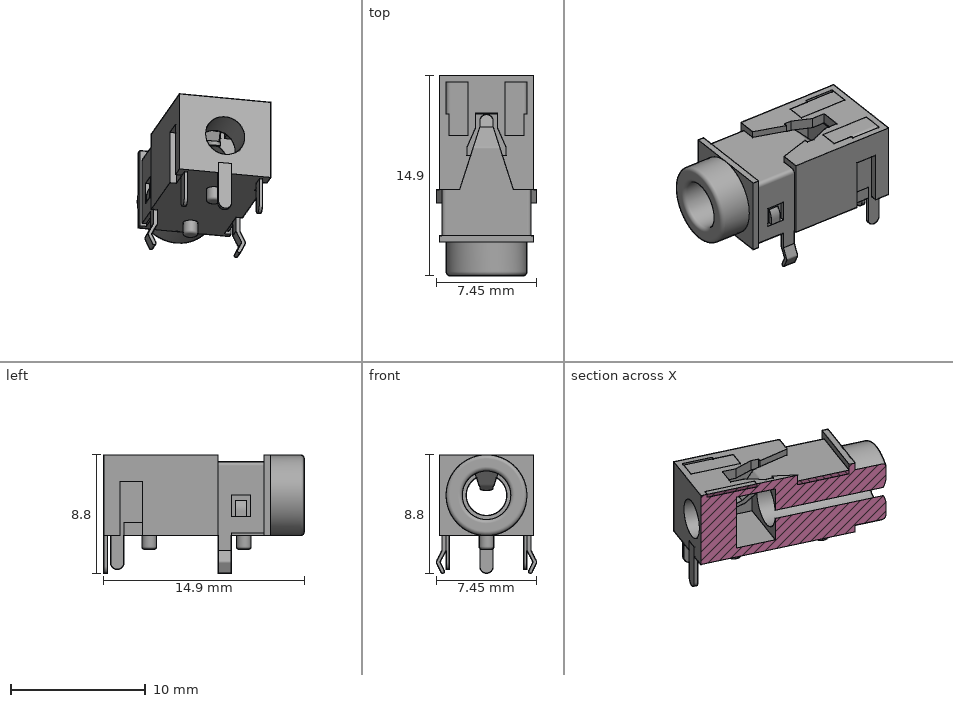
import cadquery as cq
import math

SIDES = (-1, 1)

length = 14.9
rear_y = length / 2
nose_y = -length / 2
housing_width = 7.0
housing_height = 6.0
half_width = housing_width / 2
top_z = housing_height / 2
bottom_z = -top_z
body_length = 8.5
nose_length = 2.5
flange_thickness = 0.49
body_front_y = rear_y - body_length
flange_front_y = nose_y + nose_length
flange_back_y = flange_front_y + flange_thickness

nose_diameter = housing_height
nose_round = 0.3
bore_diameter = 3.6
rear_bore_diameter = 3.0

core_half_width = nose_diameter / 2
shell_sheet = 0.31
shell_drop = 0.5
shell_top_z = top_z - shell_drop
core_top_z = shell_top_z - shell_sheet
shell_half_width = core_half_width + shell_sheet
shell_skirt_z = -2.79
pin_width = 1.0

finger_root_half_width = 2.0
finger_tip_half_width = pin_width / 2
finger_bend_y = 2.09
finger_knee_y = 3.6
finger_tip_y = 4.53
finger_slope = 45.0
finger_tip_slope = 18.0
finger_bend_round = 0.25
finger_knee_round = 0.45

leg_bend_z = -4.1
leg_elbow_z = -4.96
leg_elbow_x = 3.75
leg_elbow_round = 0.21
leg_bottom_z = -5.8
leg_foot_x = 3.35
leg_foot_round = 0.13
leg_front_y = body_front_y - pin_width

window_length = 1.43
window_top_z = 0.01
window_bottom_z = -1.58
snap_back_y = -2.34
snap_length = 0.8
snap_top_z = -0.39
snap_curve_z = -1.16

opening_back_y = 4.65
opening_neck_y = 3.58
opening_wide_y = 2.09
opening_front_y = 1.48
opening_neck_half_width = 0.8
opening_half_width = 1.46
chamber_back_y = 4.56
chamber_half_width = 2.73

contact_sheet = 0.25
contact_bend_round = 0.33
contact_rear_y = rear_y - 0.5
contact_front_y = chamber_back_y
pad_front_y = 2.97
pad_inner_x = 1.37
pad_outer_x = 2.79
contact_plate_bottom_z = -2.03
contact_pin_bottom_z = -5.51
contact_inner_x = core_half_width - contact_sheet

recess_rear_y = 6.26
recess_top_z = 1.01

rear_contact_sheet = 0.3
rear_contact_top_z = -core_top_z

peg_diameter = 1.1
peg_length = 1.01
peg_round = 0.2
peg_positions_y = (4.07, -2.95)


def block(x_range, y_range, z_range):
    """Box between the given limits, each limit pair in either order."""
    (x0, x1), (y0, y1), (z0, z1) = map(sorted, (x_range, y_range, z_range))
    return cq.Workplane("XY").box(x1 - x0, y1 - y0, z1 - z0, centered=False).translate((x0, y0, z0))


def rod_y(diameter, y_start, y_end):
    """Cylinder along Y, centred on the bore axis."""
    return cq.Workplane("XZ", origin=(0, y_start, 0)).circle(diameter / 2).extrude(y_start - y_end)


def round_ended_pin(plane, origin, pin_bottom_z, pin_top_z, sheet):
    """Flat vertical pin with a full round at its lower end, extruded from the given upright plane."""
    radius = pin_width / 2
    return (
        cq.Workplane(plane, origin=origin)
        .moveTo(-radius, pin_top_z)
        .lineTo(-radius, pin_bottom_z + radius)
        .threePointArc((0, pin_bottom_z), (radius, pin_bottom_z + radius))
        .lineTo(radius, pin_top_z)
        .close()
        .extrude(sheet)
    )



def finger_plan(z_low, z_high):
    """Vertical prism on the plan of the finger: a long taper ending in a straight tip with a full round."""
    round_y = finger_tip_y - finger_tip_half_width
    return (
        cq.Workplane("XY", origin=(0, 0, z_low))
        .moveTo(finger_root_half_width, body_front_y)
        .lineTo(finger_tip_half_width, finger_knee_y)
        .lineTo(finger_tip_half_width, round_y)
        .threePointArc((0, finger_tip_y), (-finger_tip_half_width, round_y))
        .lineTo(-finger_tip_half_width, finger_knee_y)
        .lineTo(-finger_root_half_width, body_front_y)
        .close()
        .extrude(z_high - z_low)
    )


def finger_side_profile():
    """Constant-thickness strip: flat, then bent steeply down, then less steeply at the tip."""
    steep = math.radians(finger_slope)
    gentle = math.radians(finger_tip_slope)
    knee_z = shell_top_z - (finger_knee_y - finger_bend_y) * math.tan(steep)
    tip_z = knee_z - (finger_tip_y - finger_knee_y) * math.tan(gentle)

    knee_angle = (steep + gentle) / 2
    knee_offset = shell_sheet / math.cos((steep - gentle) / 2)
    under_knee_y = finger_knee_y - knee_offset * math.sin(knee_angle)
    under_knee_z = knee_z - knee_offset * math.cos(knee_angle)
    return [
        (body_front_y, shell_top_z),
        (finger_bend_y, shell_top_z),
        (finger_knee_y, knee_z),
        (finger_tip_y, tip_z),
        (finger_tip_y, tip_z - shell_sheet / math.cos(gentle)),
        (under_knee_y, under_knee_z),
        (finger_bend_y - shell_sheet * math.tan(steep / 2), core_top_z),
        (body_front_y, core_top_z),
    ]


def spring_finger():
    profile = finger_side_profile()
    strip = cq.Workplane("YZ").polyline(profile).close().extrude(finger_root_half_width, both=True)
    top_bend = profile[1]
    under_knee = profile[5]
    for (y, z), radius in ((top_bend, finger_bend_round), (under_knee, finger_knee_round)):
        strip = strip.edges(cq.selectors.NearestToPointSelector((0, y, z))).fillet(radius)
    return strip.intersect(finger_plan(bottom_z, top_z))


def board_lock_leg(side):
    """Leg that runs straight down, kinks outward and turns back in at the foot."""
    outer = [
        (shell_half_width, shell_skirt_z),
        (shell_half_width, leg_bend_z),
        (leg_elbow_x, leg_elbow_z),
        (leg_foot_x, leg_bottom_z),
    ]
    inner = [(x - shell_sheet, z) for x, z in reversed(outer)]
    outline = [(side * x, z) for x, z in outer + inner]
    leg = cq.Workplane("XZ", origin=(0, body_front_y, 0)).polyline(outline).close().extrude(pin_width)
    elbow = (side * leg_elbow_x, body_front_y - pin_width / 2, leg_elbow_z)
    leg = leg.edges(cq.selectors.NearestToPointSelector(elbow)).fillet(leg_elbow_round)
    return leg.faces("<Z").edges("|Y").fillet(leg_foot_round)


def latch_window(side):
    return block(
        (side * core_half_width, side * shell_half_width),
        (leg_front_y - window_length, leg_front_y),
        (window_bottom_z, window_top_z),
    )


def make_shell():
    y_range = (flange_back_y, body_front_y)
    cover = block((-shell_half_width, shell_half_width), y_range, (shell_skirt_z, shell_top_z))
    cover = cover.edges("|Y and >Z").fillet(shell_sheet)
    shell = cover.cut(block((-core_half_width, core_half_width), y_range, (shell_skirt_z, core_top_z)))
    shell = shell.union(spring_finger())
    for side in SIDES:
        shell = shell.cut(latch_window(side)).union(board_lock_leg(side))
    return shell



def contact_pad_space(side):
    """Square-cornered space for the pad, stepped inward in front of the bent plate."""
    z_range = (top_z - contact_sheet, top_z)
    rear = block((side * pad_inner_x, side * core_half_width), (contact_front_y, contact_rear_y), z_range)
    front = block((side * pad_inner_x, side * pad_outer_x), (pad_front_y, contact_front_y), z_range)
    return rear.union(front)


def contact_plate_space(side):
    x_range = (side * contact_inner_x, side * core_half_width)
    return block(x_range, (contact_front_y, contact_rear_y), (contact_plate_bottom_z, top_z))


def contact_pin(side):
    low_x = min(side * contact_inner_x, side * core_half_width)
    origin = (low_x, contact_rear_y - pin_width / 2, 0)
    return round_ended_pin("YZ", origin, contact_pin_bottom_z, contact_plate_bottom_z, contact_sheet)


def contact_space(side):
    """The contact before its bend is rounded, which is also the pocket it needs in the housing."""
    return contact_pad_space(side).union(contact_plate_space(side)).union(contact_pin(side))


def bend_trim(side):
    """Material outside the rounded bend between pad and plate."""
    bend_x = side * (core_half_width - contact_bend_round)
    bend_z = top_z - contact_bend_round
    corner = block((bend_x, side * core_half_width), (pad_front_y, contact_rear_y), (bend_z, top_z))
    bend = rod_y(2 * contact_bend_round, pad_front_y, contact_rear_y).translate((bend_x, 0, bend_z))
    return corner.cut(bend)


def make_side_contact(side):
    return contact_space(side).cut(bend_trim(side))



def make_rear_contact():
    origin = (0, rear_y, 0)
    return round_ended_pin("XZ", origin, leg_bottom_z, rear_contact_top_z, rear_contact_sheet)



def housing_blank():
    z_range = (bottom_z, top_z)
    body = block((-half_width, half_width), (body_front_y, rear_y), z_range)
    core = block((-core_half_width, core_half_width), (flange_back_y, body_front_y), (bottom_z, core_top_z))
    flange = block((-half_width, half_width), (flange_front_y, flange_back_y), z_range)
    nose = rod_y(nose_diameter, nose_y, flange_front_y).faces("<Y").edges().fillet(nose_round)
    return body.union(core).union(flange).union(nose)


def cut_bore(housing):
    housing = housing.cut(rod_y(bore_diameter, nose_y, chamber_back_y))
    housing = housing.cut(rod_y(rear_bore_diameter, chamber_back_y, rear_y))
    return housing.faces("<Y").edges("%CIRCLE").edges(cq.selectors.RadiusNthSelector(0)).fillet(nose_round)


def finger_opening():
    """Opening around the end of the finger, joined to the slot that the finger lies in."""
    right_half = [
        (opening_half_width, opening_front_y),
        (opening_half_width, opening_wide_y),
        (opening_neck_half_width, opening_neck_y),
        (opening_neck_half_width, opening_back_y),
    ]
    left_half = [(-x, y) for x, y in reversed(right_half)]
    outline = cq.Workplane("XY", origin=(0, 0, core_top_z)).polyline(right_half + left_half).close()
    opening = outline.extrude(top_z - core_top_z)
    return opening.union(finger_plan(core_top_z, top_z))


def contact_chamber():
    return block(
        (-chamber_half_width, chamber_half_width),
        (opening_front_y, chamber_back_y),
        (-core_top_z, core_top_z),
    )


def side_recess(side):
    return block(
        (side * core_half_width, side * half_width),
        (contact_front_y, recess_rear_y),
        (bottom_z, recess_top_z),
    )


def latch_snap(side):
    """Bump that fills the shell thickness; above, an arc tangent to the outer face runs back to the core."""
    height = snap_top_z - snap_curve_z
    radius = (height**2 + shell_sheet**2) / (2 * shell_sheet)
    half_angle = math.asin(height / radius) / 2
    middle_x = shell_half_width - radius * (1 - math.cos(half_angle))
    middle_z = snap_curve_z + radius * math.sin(half_angle)
    return (
        cq.Workplane("XZ", origin=(0, snap_back_y, 0))
        .moveTo(side * core_half_width, window_bottom_z)
        .lineTo(side * shell_half_width, window_bottom_z)
        .lineTo(side * shell_half_width, snap_curve_z)
        .threePointArc((side * middle_x, middle_z), (side * core_half_width, snap_top_z))
        .close()
        .extrude(snap_length)
    )


def locating_peg(y):
    peg = cq.Workplane("XY", origin=(0, y, bottom_z)).circle(peg_diameter / 2).extrude(-peg_length)
    return peg.faces("<Z").edges().fillet(peg_round)


def make_housing():
    housing = cut_bore(housing_blank())
    housing = housing.cut(contact_chamber()).cut(finger_opening())
    for side in SIDES:
        housing = housing.cut(side_recess(side)).cut(contact_space(side)).union(latch_snap(side))
    for y in peg_positions_y:
        housing = housing.union(locating_peg(y))
    return housing.cut(make_rear_contact())


housing = make_housing()
shell = make_shell()
side_contacts = [make_side_contact(side) for side in SIDES]
rear_contact = make_rear_contact()

result = cq.Compound.makeCompound([
    housing.val(),
    shell.val(),
    *[contact.val() for contact in side_contacts],
    rear_contact.val(),
])